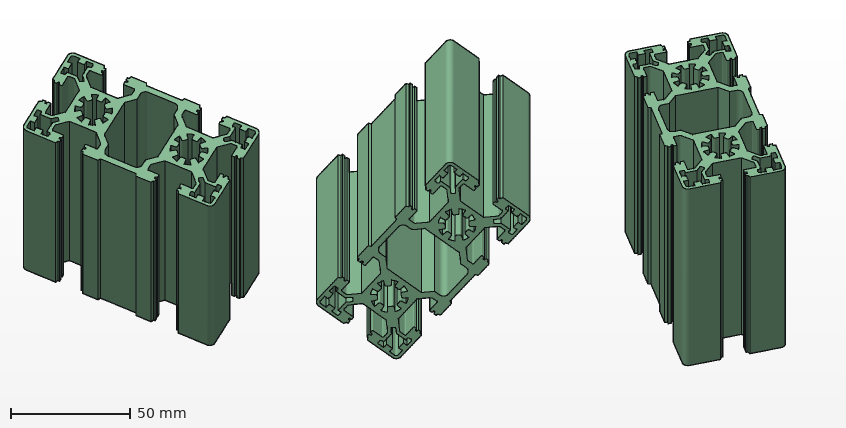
import cadquery as cq
import math

module = 45.0
half_module = module / 2
width = 2 * module
length = 100.0
corner_radius = 2.5
wall = 1.5
web = 1.6

mouth_half = 5.1
lead_in_half = 6.4
lead_in_floor_half = 5.9
lead_in_depth = 1.2
groove_half = 6.1
groove_top = 2.6
groove_bottom = 3.6
groove_taper = 0.2
lip_thickness = 5.1
lip_edge_radius = 0.3
slot_half = 10.7
slot_taper_depth = 8.2
slot_corner_radius = 0.4
slot_bend_radius = 1.0
core_half = 9.9
slot_depth = half_module - core_half
slot_floor_half = slot_half - (slot_depth - slot_taper_depth)

slot_wall = half_module - slot_half
chamber_edge = slot_wall - web
chamber_pocket_depth = lip_thickness - wall
chamber_corner_radius = 1.0
pocket_corner_radius = 0.4
rib_start = 5.3
rib_end = 8.5
rib_height = 2.0
channel_width = 2.1
channel_reach = 11.6
channel_end_radius = 0.6

bore_root_radius = 7.9
bore_tip_radius = 5.0
tooth_count = 8
tooth_tip_half = 1.3
tooth_root_half = 1.7
tooth_tip_radius = 0.7

cavity_half_x = 8.7
cavity_half_y = 18.5
cavity_corner_radius = 2.5
cavity_waist_half_x = half_module - core_half
cavity_taper_y = 13.2
recess_depth = 1.2
recess_half = 8.9
recess_floor_half = 8.4


def prism(points):
    """Extrude a closed polygon over the full length."""
    return cq.Workplane("XY").polyline(points).close().extrude(length)


def box_between(x_min, x_max, y_min, y_max):
    """Full-length block between two opposite corners."""
    return prism([(x_min, y_min), (x_max, y_min), (x_max, y_max), (x_min, y_max)])


def round_edge_pair(solid, x, y, radius):
    """Fillet the two lengthwise edges at +x and -x."""
    for edge_x in (x, -x):
        edge = cq.NearestToPointSelector((edge_x, y, length / 2))
        solid = solid.edges(edge).fillet(radius)
    return solid


def t_slot():
    """T-slot cutter, with its mouth on the X axis and its floor toward -Y."""
    half_outline = [
        (lead_in_half, 0),
        (lead_in_floor_half, -lead_in_depth),
        (mouth_half, -lead_in_depth),
        (mouth_half, -groove_top),
        (groove_half, -groove_top - groove_taper),
        (groove_half, -groove_bottom + groove_taper),
        (mouth_half, -groove_bottom),
        (mouth_half, -lip_thickness),
        (slot_half, -lip_thickness),
        (slot_half, -slot_taper_depth),
        (slot_floor_half, -slot_depth),
    ]
    other_half = [(-x, y) for x, y in reversed(half_outline)]
    slot = prism(half_outline + other_half)
    slot = round_edge_pair(slot, mouth_half, -lip_thickness, lip_edge_radius)
    slot = round_edge_pair(slot, slot_half, -lip_thickness, slot_corner_radius)
    return round_edge_pair(slot, slot_half, -slot_taper_depth, slot_bend_radius)


def corner_chamber():
    """Chamber cutter, with the outer profile corner at the origin and the part toward +X +Y."""
    room = box_between(wall, chamber_edge, wall, chamber_edge)
    room = room.edges("|Z and <X and <Y").fillet(chamber_corner_radius)
    side_pocket = box_between(chamber_edge - web, slot_wall, wall, chamber_pocket_depth)
    side_pocket = side_pocket.edges("|Z and >X").fillet(pocket_corner_radius)
    end_pocket = box_between(wall, chamber_pocket_depth, chamber_edge - web, slot_wall)
    end_pocket = end_pocket.edges("|Z and >Y").fillet(pocket_corner_radius)
    channel_length = channel_reach * math.sqrt(2)
    channel = box_between(chamber_edge, channel_length, -channel_width / 2, channel_width / 2)
    channel = channel.edges("|Z and >X").fillet(channel_end_radius)
    channel = channel.rotate((0, 0, 0), (0, 0, 1), 45)
    rib_tip = wall + rib_height
    ribs = box_between(rib_start, rib_end, wall, rib_tip).union(
        box_between(wall, rib_tip, rib_start, rib_end)
    )
    return room.union(side_pocket).union(end_pocket).cut(ribs).union(channel)


def toothed_bore():
    """Screw bore cutter: a round hole with inward teeth."""
    bore = cq.Workplane("XY").circle(bore_root_radius).extrude(length)
    tooth = prism([
        (bore_tip_radius, -tooth_tip_half),
        (bore_root_radius, -tooth_root_half),
        (bore_root_radius, tooth_root_half),
        (bore_tip_radius, tooth_tip_half),
    ])
    tooth = tooth.edges("|Z and <X").fillet(tooth_tip_radius)
    for index in range(tooth_count):
        angle = index * 360 / tooth_count
        bore = bore.cut(tooth.rotate((0, 0, 0), (0, 0, 1), angle))
    return bore


def central_cavity():
    """Cavity cutter between the two cores, widening in the middle of its height."""
    shaft = box_between(-cavity_half_x, cavity_half_x, -cavity_half_y, cavity_half_y)
    shaft = shaft.edges("|Z").fillet(cavity_corner_radius)
    waist_end_y = cavity_taper_y - (cavity_waist_half_x - cavity_half_x)
    waist = prism([
        (cavity_half_x, cavity_taper_y),
        (cavity_waist_half_x, waist_end_y),
        (cavity_waist_half_x, -waist_end_y),
        (cavity_half_x, -cavity_taper_y),
        (-cavity_half_x, -cavity_taper_y),
        (-cavity_waist_half_x, -waist_end_y),
        (-cavity_waist_half_x, waist_end_y),
        (-cavity_half_x, cavity_taper_y),
    ])
    return shaft.union(waist)


def face_recess():
    """Shallow recess cutter, open on the X axis with its floor toward -Y."""
    return prism([
        (-recess_half, 0),
        (recess_half, 0),
        (recess_floor_half, -recess_depth),
        (-recess_floor_half, -recess_depth),
    ])


body = cq.Workplane("XY").rect(width, module).extrude(length)
body = body.edges("|Z").fillet(corner_radius)
body = body.cut(central_cavity())

for side in (1, -1):
    half_turn = 0 if side == 1 else 180
    long_face_y = side * half_module
    recess = face_recess().rotate((0, 0, 0), (0, 0, 1), half_turn)
    body = body.cut(recess.translate((0, long_face_y, 0)))
    long_face_slot = t_slot().rotate((0, 0, 0), (0, 0, 1), half_turn)
    for slot_x in (-half_module, half_module):
        body = body.cut(long_face_slot.translate((slot_x, long_face_y, 0)))
    short_face_slot = t_slot().rotate((0, 0, 0), (0, 0, 1), half_turn - 90)
    body = body.cut(short_face_slot.translate((side * width / 2, 0, 0)))
    body = body.cut(toothed_bore().translate((side * half_module, 0, 0)))

chamber = corner_chamber().translate((-width / 2, -half_module, 0))
chambers = chamber.union(chamber.mirror("YZ"))
chambers = chambers.union(chambers.mirror("XZ"))

result = body.cut(chambers)